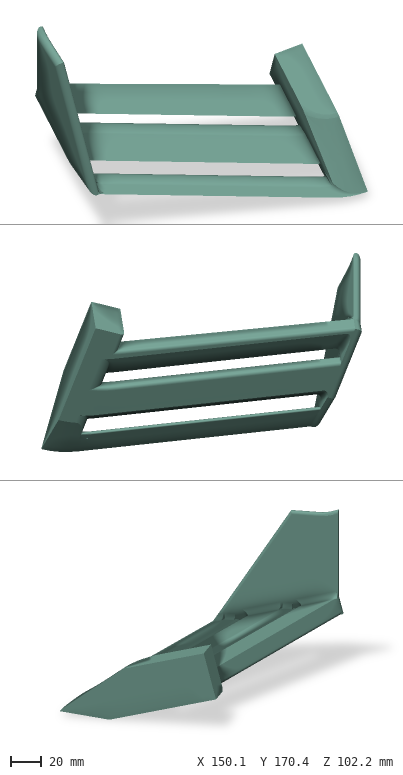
import cadquery as cq
import math


PITCH = 15
SPAN = 170.4

THICKNESS = 12.0
CHORD = 87.0
KNUCKLE = 55.5
EDGE_RADIUS = 2.0

TAIL_SWEEP = 22.5
NOSE_SWEEP = 23.2
BEND_RADIUS = 60.0

PLATE_THICKNESS = 6.0
PLATE_RADIUS = 4.0
FIN_HEIGHT = 102.2
FIN_SHOULDER_HEIGHT = 99.3
FIN_ARC_END = 17.2
FIN_TOP_END = 35.1

FIRST_SLOT = {"mouth": 3.4, "top": 23.3, "lip": 28.0, "lower_radius": 2.0}
SECOND_SLOT = {"mouth": 49.5, "top": 60.5, "lip": 68.2, "lower_radius": 0.7}
SLOT_BEND_RADIUS = 71.5
RAMP_ANGLE = 13.7
RAMP_LENGTH = 10.4
RAMP_BLEND = 0.7
LIP_RADIUS = 4.0
LIP_BASE_LENGTH = 5.1
SLOT_TIP_RADIUS = 3.4
SLOT_END_RADIUS = 8.5

BLOCK_DEPTH = 20.1
BLOCK_START = 46.3
BLOCK_HEIGHT = 32.0
BLOCK_LOWER_END = 85.2
BLOCK_EDGE_RADIUS = 2.9
RIDGE = 102.0
RIDGE_RADIUS = 7.7
FAIRING_RADIUS = 22.2
FAIRING_LIFT = 4.3
FAIRING_ROOT_LIFT = 0.09
FAIRING_SECTIONS = 5

OVERLAP = 1.7
MARGIN = 0.2

BLOCK_FACE = SPAN - BLOCK_DEPTH
NOSE_SLOPE = THICKNESS / (CHORD - KNUCKLE)


def swept_edge(chord, sweep, radius):
    """Plan points of a swept edge: tip, start of bend, middle of bend, root."""
    angle = math.radians(sweep)
    bend_y = SPAN - radius * math.sin(angle)
    bend_x = chord + (bend_y - PLATE_THICKNESS) * math.tan(angle)
    center_x = bend_x - radius * math.cos(angle)
    middle = (center_x + radius * math.cos(angle / 2), SPAN - radius * math.sin(angle / 2))
    return (chord, PLATE_THICKNESS), (bend_x, bend_y), middle, (center_x + radius, SPAN)


TAIL_EDGE = swept_edge(0, TAIL_SWEEP, BEND_RADIUS)
NOSE_EDGE = swept_edge(CHORD, NOSE_SWEEP, BEND_RADIUS)
ROOT_NOSE = NOSE_EDGE[-1][0]
ROOT_KNUCKLE = ROOT_NOSE - (CHORD - KNUCKLE)
TIP_HEIGHT = ROOT_KNUCKLE * math.sin(math.radians(PITCH))


def pitched_point(chord, height):
    """Upright X and Z of a point given in the flat wing section."""
    angle = math.radians(PITCH)
    x = chord * math.cos(angle) + height * math.sin(angle)
    z = TIP_HEIGHT - chord * math.sin(angle) + height * math.cos(angle)
    return x, z


def pitched_body(body):
    """Tilt a flat body nose-down and lift it so the root knuckle rests on Z = 0."""
    return body.rotate((0, 0, 0), (0, 1, 0), PITCH).translate((0, 0, TIP_HEIGHT))


def box(x_range, y_range, z_range):
    lengths = [end - start for start, end in (x_range, y_range, z_range)]
    corner = (x_range[0], y_range[0], z_range[0])
    return cq.Workplane().box(*lengths, centered=False).translate(corner)


def wing():
    tail_tip, tail_bend, tail_middle, tail_root = TAIL_EDGE
    nose_tip, nose_bend, nose_middle, nose_root = NOSE_EDGE
    plan = (
        cq.Workplane()
        .moveTo(*tail_tip).lineTo(*tail_bend).threePointArc(tail_middle, tail_root)
        .lineTo(*nose_root).threePointArc(nose_middle, nose_bend).lineTo(*nose_tip)
        .close().extrude(THICKNESS)
    )
    lower_tail = cq.selectors.BoxSelector(
        (-MARGIN, 0, -MARGIN), (tail_root[0] + MARGIN, SPAN - MARGIN, MARGIN)
    )
    plan = plan.edges(lower_tail).edges("not #Y").fillet(EDGE_RADIUS)

    above_slope_outline = (
        cq.Workplane(origin=(0, 0, THICKNESS))
        .moveTo(-CHORD, PLATE_THICKNESS).lineTo(*nose_tip).lineTo(*nose_bend)
        .threePointArc(nose_middle, nose_root).lineTo(-CHORD, SPAN).close()
    )
    down_slope = cq.Vector(KNUCKLE - CHORD, 0, -THICKNESS)
    above_slope = cq.Solid.extrudeLinear(above_slope_outline.val(), [], down_slope)
    return plan.intersect(cq.Workplane(obj=above_slope))


def root_block():
    lower = box((BLOCK_START, BLOCK_LOWER_END), (BLOCK_FACE, SPAN), (0, THICKNESS))
    lower = lower.edges("<Y and <Z").fillet(BLOCK_EDGE_RADIUS)

    turn = math.asin(BLOCK_DEPTH / FAIRING_RADIUS)
    full_shift = FAIRING_RADIUS * (1 - math.cos(turn))
    sections = []
    for i in range(FAIRING_SECTIONS):
        angle = turn * i / (FAIRING_SECTIONS - 1)
        y = SPAN - FAIRING_RADIUS * math.sin(angle)
        shift = FAIRING_RADIUS * (1 - math.cos(angle))
        lift = FAIRING_ROOT_LIFT + FAIRING_LIFT * shift / full_shift
        nose_x = ROOT_NOSE - shift
        outline = [
            (BLOCK_START, THICKNESS),
            (BLOCK_START, BLOCK_HEIGHT),
            (RIDGE - shift, BLOCK_HEIGHT),
            (nose_x, THICKNESS + lift),
            (nose_x - lift / NOSE_SLOPE, THICKNESS),
        ]
        points = [cq.Vector(x, y, z) for x, z in outline]
        sections.append(cq.Wire.makePolygon(points, close=True))
    upper = cq.Workplane(obj=cq.Solid.makeLoft(sections))
    upper = upper.faces(">Z").edges(">X").fillet(RIDGE_RADIUS)
    return upper.union(lower)


def rounded_outline(plane, corners):
    """Closed outline through (x, y, radius) corners, rounding those with a radius."""
    outline = cq.Workplane(plane)
    for i, (x, y, radius) in enumerate(corners):
        point = cq.Vector(x, y)
        to_last = (cq.Vector(*corners[i - 1][:2]) - point).normalized()
        to_next = (cq.Vector(*corners[(i + 1) % len(corners)][:2]) - point).normalized()
        half = to_last.getAngle(to_next) / 2
        start = point + to_last * (radius / math.tan(half))
        outline = outline.lineTo(start.x, start.y) if i else outline.moveTo(start.x, start.y)
        if radius:
            end = point + to_next * (radius / math.tan(half))
            bisector = (to_last + to_next).normalized()
            middle = point + bisector * (radius / math.sin(half) - radius)
            outline = outline.threePointArc((middle.x, middle.y), (end.x, end.y))
    return outline.close()


def underside(chord):
    """Height of the wing underside at a chord position."""
    return max(0, (chord - KNUCKLE) * NOSE_SLOPE)


def slot_channel(mouth, top, lip, lower_radius):
    """Slot between two slats: sloping underside ahead, rounded lip and ramp behind."""
    sweep = math.radians(NOSE_SWEEP)
    start, bend, middle, end = swept_edge(lip, NOSE_SWEEP, SLOT_BEND_RADIUS)
    path_start = (start[0] - CHORD * math.sin(sweep), start[1] - CHORD * math.cos(sweep))
    path = cq.Workplane().moveTo(*path_start).lineTo(*bend).threePointArc(middle, end)

    squeeze = math.cos(sweep)
    mouth_x = (mouth - lip) * squeeze
    top_x = (top - lip) * squeeze
    ramp_x = RAMP_LENGTH * squeeze
    base_x = LIP_BASE_LENGTH * squeeze
    below_mouth_x = mouth_x - OVERLAP * (top_x - mouth_x) / THICKNESS
    ramp_drop = RAMP_LENGTH * math.tan(math.radians(RAMP_ANGLE))
    clear_height = THICKNESS + 2 * PLATE_RADIUS
    corners = [
        (below_mouth_x, -OVERLAP, 0),
        (top_x, THICKNESS, 0),
        (top_x, clear_height, 0),
        (ramp_x + RAMP_BLEND, clear_height, 0),
        (ramp_x + RAMP_BLEND, THICKNESS, 0),
        (ramp_x, THICKNESS, LIP_RADIUS),
        (0, THICKNESS - ramp_drop, LIP_RADIUS),
        (0, underside(lip), lower_radius),
        (base_x, underside(lip + LIP_BASE_LENGTH), 0),
        (base_x, -OVERLAP, 0),
    ]
    section_plane = cq.Plane(
        origin=(*path_start, 0),
        xDir=(math.cos(sweep), -math.sin(sweep), 0),
        normal=(-math.sin(sweep), -math.cos(sweep), 0),
    )
    channel = rounded_outline(section_plane, corners).sweep(path)

    wide = (-2 * SPAN, 2 * SPAN)
    runout_end = BLOCK_FACE + SLOT_END_RADIUS
    runout = box(wide, (BLOCK_FACE, runout_end), (-OVERLAP, SLOT_END_RADIUS))
    rounding = (
        cq.Workplane("YZ", origin=(wide[0], 0, 0))
        .center(runout_end, SLOT_END_RADIUS)
        .circle(SLOT_END_RADIUS).extrude(wide[1] - wide[0])
    )
    reach = box(wide, (PLATE_THICKNESS, BLOCK_FACE), wide).union(runout.cut(rounding))
    channel = channel.intersect(reach)

    front_wall = cq.selectors.BoxSelector(
        (mouth - CHORD, 0, 0), (top + MARGIN, PLATE_THICKNESS + MARGIN, clear_height)
    )
    return channel.faces("<Y").edges(front_wall).fillet(SLOT_TIP_RADIUS)


def plate_fillet(length, radius):
    """Straight concave fillet along X, on Z = 0, against the inner face of the end plate."""
    middle = radius * (1 - math.sqrt(0.5))
    return (
        cq.Workplane("YZ", origin=(0, PLATE_THICKNESS, 0))
        .lineTo(radius, 0).threePointArc((middle, middle), (0, radius)).close()
        .extrude(length)
    )


def ramp_fillet(lip):
    """Fillet between a slot ramp and the end plate, from the rounded lip to the ramp top."""
    length = (RAMP_LENGTH - LIP_RADIUS) / math.cos(math.radians(RAMP_ANGLE))
    fillet = plate_fillet(length, SLOT_TIP_RADIUS).translate((-length, 0, 0))
    fillet = fillet.rotate((0, 0, 0), (0, 1, 0), -RAMP_ANGLE)
    return fillet.translate((lip + RAMP_LENGTH, 0, THICKNESS))


TAIL_TOP = pitched_point(0, THICKNESS)
NOSE_TIP = pitched_point(CHORD, THICKNESS)


def fin_outline(tail_foot, nose_foot):
    """Outline of the upright fin, open between its two feet."""
    arc_run = FIN_ARC_END - TAIL_TOP[0]
    arc_drop = FIN_HEIGHT - FIN_SHOULDER_HEIGHT
    arc_radius = (arc_run ** 2 + arc_drop ** 2) / (2 * arc_drop)
    half_turn = math.asin(arc_run / arc_radius) / 2
    arc_middle = (
        FIN_ARC_END - arc_radius * math.sin(half_turn),
        FIN_SHOULDER_HEIGHT + arc_radius * (1 - math.cos(half_turn)),
    )
    return (
        cq.Workplane("XZ")
        .moveTo(*tail_foot).lineTo(TAIL_TOP[0], FIN_HEIGHT)
        .threePointArc(arc_middle, (FIN_ARC_END, FIN_SHOULDER_HEIGHT))
        .lineTo(FIN_TOP_END, FIN_SHOULDER_HEIGHT)
        .lineTo(*nose_foot)
    )


def long_fin(depth):
    """The fin with its tail and leading edges carried straight on down to Z = 0."""
    lead_run = (NOSE_TIP[0] - FIN_TOP_END) / (FIN_SHOULDER_HEIGHT - NOSE_TIP[1])
    low_nose = (NOSE_TIP[0] + NOSE_TIP[1] * lead_run, 0)
    return fin_outline((TAIL_TOP[0], 0), low_nose).close().extrude(-depth)


def end_plate():
    plate = (
        fin_outline(TAIL_TOP, NOSE_TIP)
        .lineTo(*pitched_point(KNUCKLE, 0)).lineTo(*pitched_point(0, 0)).close()
        .extrude(-PLATE_THICKNESS)
    )
    plate = plate.faces("<Y").edges().fillet(PLATE_RADIUS)

    rounded_fin = long_fin(PLATE_THICKNESS).faces(">Y").edges("not (<Z or <X)").fillet(EDGE_RADIUS)
    above_wing = pitched_body(
        box((-SPAN, SPAN), (-OVERLAP, PLATE_THICKNESS + OVERLAP), (THICKNESS, SPAN))
    )
    return plate.cut(above_wing.cut(rounded_fin))


top_fillet = pitched_body(plate_fillet(CHORD + OVERLAP, PLATE_RADIUS).translate((0, 0, THICKNESS)))
top_fillet = top_fillet.intersect(long_fin(PLATE_THICKNESS + PLATE_RADIUS))

result = pitched_body(wing().union(root_block())).union(top_fillet)
for slot in (FIRST_SLOT, SECOND_SLOT):
    result = result.cut(pitched_body(slot_channel(**slot)))
    result = result.union(pitched_body(ramp_fillet(slot["lip"])))
result = result.union(end_plate())